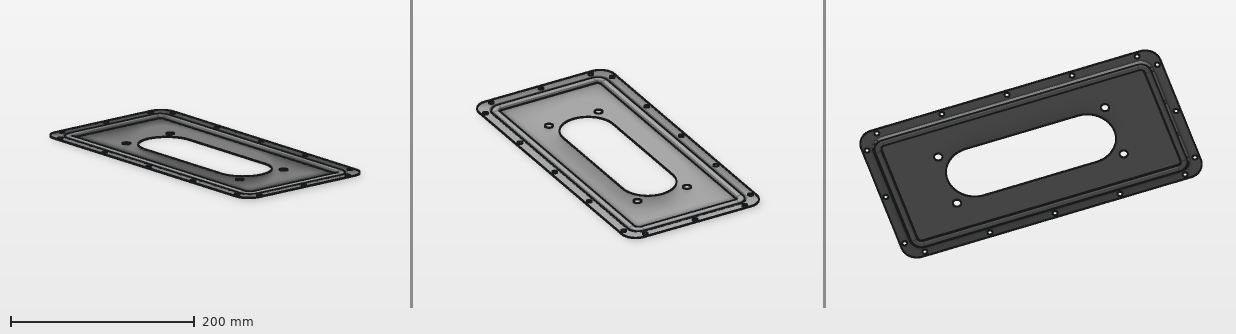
import cadquery as cq
import math

plate_length = 345.0
plate_width = 170.0
plate_corner_radius = 17.5

sheet_thickness = 1.0
inner_bend_radius = 1.0
outer_bend_radius = inner_bend_radius + sheet_thickness
bend_span = inner_bend_radius + outer_bend_radius
bend_margin = 10.7
bend_corner_radius = 15.0

seal_overhang = 1.0
seal_width = 8.5
seal_crown_radius = 7.0
seal_shoulder_radius = 2.0

floor_bottom = seal_overhang
floor_top = floor_bottom + sheet_thickness
flange_bottom = floor_bottom + bend_span
flange_top = flange_bottom + sheet_thickness
overall_height = flange_top + seal_overhang

fastener_diameter = 5.5
fastener_edge_distance = 5.2
fastener_end_distance = 22.5
long_side_holes = 5
short_side_holes = 3

opening_length = 192.0
opening_width = 62.5
corner_hole_diameter = 9.0


def rounded_block(margin, corner_radius, bottom, top):
    """Upright block whose sides lie a given distance inside the plate edges."""
    return (
        cq.Workplane("XY", origin=(0, 0, bottom))
        .rect(plate_length - 2 * margin, plate_width - 2 * margin)
        .extrude(top - bottom)
        .edges("|Z")
        .fillet(corner_radius)
    )


def bend_path(inset):
    """Closed path around the floor, a given distance inside the start of the bend."""
    block = rounded_block(bend_margin + inset, bend_corner_radius - inset, 0, overall_height)
    return block.faces("<Z").wires()


def section_plane(inset):
    """Cross-section plane on the -Y side: local x runs inward from the inset, local y is height."""
    return cq.Workplane("YZ", origin=(0, bend_margin + inset - plate_width / 2, 0))


def make_bend():
    """S-bend joining the flange to the floor, swept around the plate."""
    quarter = math.sqrt(0.5)
    inner = inner_bend_radius
    outer = outer_bend_radius
    section = (
        section_plane(0)
        .moveTo(0, flange_top)
        .threePointArc((outer * quarter, flange_bottom - inner + outer * quarter), (outer, floor_top + inner))
        .threePointArc((bend_span - inner * quarter, floor_top + inner * (1 - quarter)), (bend_span, floor_top))
        .lineTo(bend_span, floor_bottom)
        .threePointArc((bend_span - outer * quarter, floor_bottom + outer * (1 - quarter)),
                       (inner, floor_bottom + outer))
        .threePointArc((inner * quarter, flange_bottom - inner * (1 - quarter)), (0, flange_bottom))
        .close()
    )
    return section.sweep(bend_path(0))


def row(count, length):
    """Evenly spaced positions along a length, centred on zero."""
    return [length * (i / (count - 1) - 0.5) for i in range(count)]


def fastener_points():
    """Hole centres along the four flange sides."""
    x_side = plate_length / 2 - fastener_edge_distance
    y_side = plate_width / 2 - fastener_edge_distance
    long_row = row(long_side_holes, plate_length - 2 * fastener_end_distance)
    short_row = row(short_side_holes, plate_width - 2 * fastener_end_distance)
    points = []
    for side in (-1, 1):
        points += [(x, side * y_side) for x in long_row]
        points += [(side * x_side, y) for y in short_row]
    return points


def make_sheet():
    """Flange, S-bend and floor of constant thickness, with all holes."""
    flange_hole = rounded_block(bend_margin, bend_corner_radius, flange_bottom, flange_top)
    flange = rounded_block(0, plate_corner_radius, flange_bottom, flange_top).cut(flange_hole)
    floor = rounded_block(
        bend_margin + bend_span, bend_corner_radius - bend_span, floor_bottom, floor_top
    )
    fasteners = (
        cq.Workplane("XY").pushPoints(fastener_points()).circle(fastener_diameter / 2).extrude(overall_height)
    )
    opening = cq.Workplane("XY").slot2D(opening_length, opening_width).extrude(overall_height)
    corner_holes = (
        cq.Workplane("XY")
        .rect(opening_length, opening_width, forConstruction=True)
        .vertices()
        .circle(corner_hole_diameter / 2)
        .extrude(overall_height)
    )
    return flange.union(make_bend()).union(floor).cut(fasteners).cut(opening).cut(corner_holes)


def make_oval_ring():
    """Full oval seal section swept around the floor, just inside the flange bend."""
    half_width = seal_width / 2
    shoulder_x = half_width - seal_shoulder_radius
    centre_distance = seal_crown_radius - seal_shoulder_radius
    crown_half_angle = math.asin(shoulder_x / centre_distance)
    shoulder_drop = seal_crown_radius - centre_distance * math.cos(crown_half_angle)

    blend_x = seal_crown_radius * math.sin(crown_half_angle)
    blend_drop = seal_crown_radius * (1 - math.cos(crown_half_angle))

    middle_angle = (crown_half_angle + math.pi / 2) / 2
    middle_x = shoulder_x + seal_shoulder_radius * math.sin(middle_angle)
    middle_drop = shoulder_drop - seal_shoulder_radius * math.cos(middle_angle)

    top = overall_height
    inset = outer_bend_radius + half_width
    section = (
        section_plane(inset)
        .moveTo(-half_width, shoulder_drop)
        .lineTo(-half_width, top - shoulder_drop)
        .threePointArc((-middle_x, top - middle_drop), (-blend_x, top - blend_drop))
        .threePointArc((0, top), (blend_x, top - blend_drop))
        .threePointArc((middle_x, top - middle_drop), (half_width, top - shoulder_drop))
        .lineTo(half_width, shoulder_drop)
        .threePointArc((middle_x, middle_drop), (blend_x, blend_drop))
        .threePointArc((0, 0), (-blend_x, blend_drop))
        .threePointArc((-middle_x, middle_drop), (-half_width, shoulder_drop))
        .close()
    )
    return section.sweep(bend_path(inset))


sheet = make_sheet()
ring_parts = make_oval_ring().cut(sheet)
seal = ring_parts.solids(">Z")
bead = ring_parts.solids("<Z")
pan = sheet.union(bead).solids()

result = cq.Compound.makeCompound([pan.val(), seal.val()])